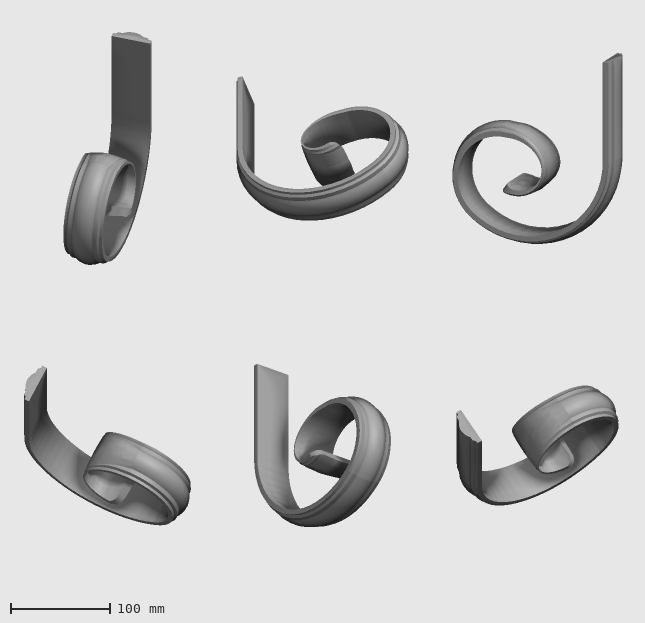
import cadquery as cq
import math

HALF_WIDTH = 20.5
THICKNESS = 12.0
EDGE_HEIGHT = 5.2
LIP_X = 17.5
STEP_X = 15.5
STEP_HEIGHT = 7.8
BEAD_X = 11.0
BEAD_RISE = THICKNESS - STEP_HEIGHT
BEAD_RADIUS = (BEAD_X**2 + BEAD_RISE**2) / (2 * BEAD_RISE)
BEAD_SPLIT_X = 5.0

TOTAL_HEIGHT = 200.0
HOOK_RADIUS = 97.0
HOOK_START = 180.0
HOOK_END = 310.0
BOW_RADIUS = 58.0
BOW_END = 450.0
NECK_RADIUS = 49.8
NECK_END = 522.0
CURL_RADIUS = 29.8
CURL_END = 665.5

WAIST_THICKNESS = 3.0
TIP_THICKNESS = 11.2
FLARE_HALF_WIDTH = 32.5
TIP_HALF_WIDTH = 31.0
TIP_CORNER_RADIUS = 10.5
EDGE_FLARE_POWER = 1.5
NECK_STATIONS = 4
CURL_STATIONS = 5


def outward(angle):
    """Unit direction, as (y, z), pointing away from an arc centre."""
    a = math.radians(angle)
    return -math.cos(a), math.sin(a)


def offset(point, angle, distance):
    y, z = outward(angle)
    return point[0] + distance * y, point[1] + distance * z


HOOK_CENTRE = (0.0, HOOK_RADIUS)
BOW_CENTRE = offset(HOOK_CENTRE, HOOK_END, HOOK_RADIUS - BOW_RADIUS)
NECK_CENTRE = offset(BOW_CENTRE, BOW_END, BOW_RADIUS - NECK_RADIUS)
CURL_CENTRE = offset(NECK_CENTRE, NECK_END, NECK_RADIUS - CURL_RADIUS)

NECK_LENGTH = math.radians(NECK_END - BOW_END) * NECK_RADIUS
CURL_LENGTH = math.radians(CURL_END - NECK_END) * CURL_RADIUS
LEAF_LENGTH = NECK_LENGTH + CURL_LENGTH


def bead_height(x):
    """Height of the round bead above the flat face."""
    return THICKNESS - BEAD_RADIUS + math.sqrt(BEAD_RADIUS**2 - x**2)


BEAD_MID_X = (BEAD_X + BEAD_SPLIT_X) / 2
BAR_OUTLINE = [
    (HALF_WIDTH, 0.0),
    (HALF_WIDTH, EDGE_HEIGHT / THICKNESS),
    (LIP_X, EDGE_HEIGHT / THICKNESS),
    (STEP_X, STEP_HEIGHT / THICKNESS),
    (BEAD_X, STEP_HEIGHT / THICKNESS),
    (BEAD_MID_X, bead_height(BEAD_MID_X) / THICKNESS),
    (BEAD_SPLIT_X, bead_height(BEAD_SPLIT_X) / THICKNESS),
    (0.0, 1.0),
]
TIP_OUTLINE = [
    (FLARE_HALF_WIDTH, 0.0),
    (FLARE_HALF_WIDTH, 0.5),
    (30.5, 0.6),
    (28.8, 0.75),
    (23.8, 0.72),
    (16.0, 0.86),
    (7.5, 0.9),
    (0.0, 1.0),
]


def section(centre, radius, angle, blend=0.0, thickness=THICKNESS):
    """Closed cross-section whose crown lies on an arc of the scroll.

    blend runs from 0 for the bar outline to 1 for the tip outline.
    """
    y, z = offset(centre, angle, radius - thickness)
    out_y, out_z = outward(angle)
    plane = cq.Plane(origin=(0, y, z), xDir=(1, 0, 0), normal=(0, -out_z, out_y))
    right = []
    edge_blend = blend**EDGE_FLARE_POWER
    bead_blend = math.sin(math.pi / 2 * blend)
    for (bar_x, bar_h), (tip_x, tip_h) in zip(BAR_OUTLINE, TIP_OUTLINE):
        x_blend = bead_blend if bar_x <= BEAD_X else edge_blend
        x = bar_x + x_blend * (tip_x - bar_x)
        height = thickness * (bar_h + blend * (tip_h - bar_h))
        right.append((x, height))
    left = [(-x, height) for x, height in right]
    foot, edge, lip, step, bead, bead_mid, split, crown = right
    return (
        cq.Workplane(plane)
        .polyline([foot, edge, lip, step, bead])
        .threePointArc(bead_mid, split)
        .threePointArc(crown, left[6])
        .threePointArc(left[5], left[4])
        .polyline(left[3::-1], includeCurrent=True)
        .close()
    )


def bent_bar(centre, radius, start, end):
    """Bar bent to an arc of the scroll."""
    profile = section(centre, radius, start)
    axis_y = THICKNESS - radius
    return profile.revolve(end - start, (0, axis_y), (-1, axis_y))


def leaf_section(centre, radius, angle, travelled):
    """Cross-section of the leaf at a distance along its crown line."""
    share = travelled / LEAF_LENGTH
    full = THICKNESS if share < 0.5 else TIP_THICKNESS
    waist_share = (1 - math.cos(2 * math.pi * share)) / 2
    thickness = full + waist_share * (WAIST_THICKNESS - full)
    return section(centre, radius, angle, share, thickness).val()


def leaf():
    wires = []
    for i in range(NECK_STATIONS):
        share = i / NECK_STATIONS
        angle = BOW_END + share * (NECK_END - BOW_END)
        wires.append(leaf_section(NECK_CENTRE, NECK_RADIUS, angle, share * NECK_LENGTH))
    for i in range(CURL_STATIONS + 1):
        share = i / CURL_STATIONS
        angle = NECK_END + share * (CURL_END - NECK_END)
        travelled = NECK_LENGTH + share * CURL_LENGTH
        wires.append(leaf_section(CURL_CENTRE, CURL_RADIUS, angle, travelled))
    return cq.Workplane(obj=cq.Solid.makeLoft(wires))


def tip_corner_cutter(side):
    """Waste outside the rounded corner on one side of the leaf tip."""
    y, z = offset(CURL_CENTRE, CURL_END, CURL_RADIUS - 2 * TIP_THICKNESS)
    out_y, out_z = outward(CURL_END)
    plane = cq.Plane(origin=(0, y, z), xDir=(1, 0, 0), normal=(0, out_y, out_z))
    r = TIP_CORNER_RADIUS
    inner_x = side * (TIP_HALF_WIDTH - r)
    outer_x = side * TIP_HALF_WIDTH
    bend = r * math.sqrt(0.5)
    return (
        cq.Workplane(plane)
        .moveTo(inner_x, 0)
        .threePointArc((inner_x + side * bend, bend - r), (outer_x, -r))
        .lineTo(outer_x + 4 * side, -r)
        .lineTo(outer_x + 4 * side, 2)
        .lineTo(inner_x, 2)
        .close()
        .extrude(3 * TIP_THICKNESS)
    )


shank = section(HOOK_CENTRE, HOOK_RADIUS, HOOK_START).extrude(TOTAL_HEIGHT - HOOK_RADIUS)
hook = bent_bar(HOOK_CENTRE, HOOK_RADIUS, HOOK_START, HOOK_END)
bow = bent_bar(BOW_CENTRE, BOW_RADIUS, HOOK_END, BOW_END)
trimmed_leaf = leaf().cut(tip_corner_cutter(1)).cut(tip_corner_cutter(-1))

result = shank.union(hook).union(bow).union(trimmed_leaf)